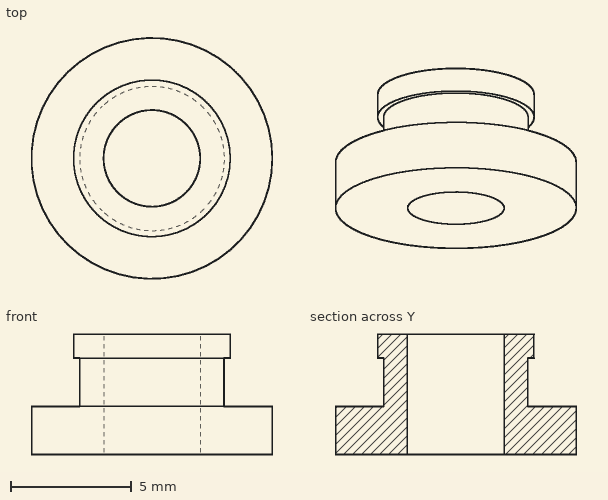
import cadquery as cq

flange_diameter = 10
neck_diameter = 6
collar_diameter = 6.5
bore_diameter = 4

flange_height = 2
neck_height = 2
collar_height = 1


def add_disc(body, diameter, height):
    """Stack a coaxial disc on the top face of the body."""
    return body.faces(">Z").workplane().circle(diameter / 2).extrude(height)


flange = cq.Workplane("XY").circle(flange_diameter / 2).extrude(flange_height)
flange_and_neck = add_disc(flange, neck_diameter, neck_height)
bushing = add_disc(flange_and_neck, collar_diameter, collar_height)

result = bushing.faces(">Z").workplane().hole(bore_diameter)